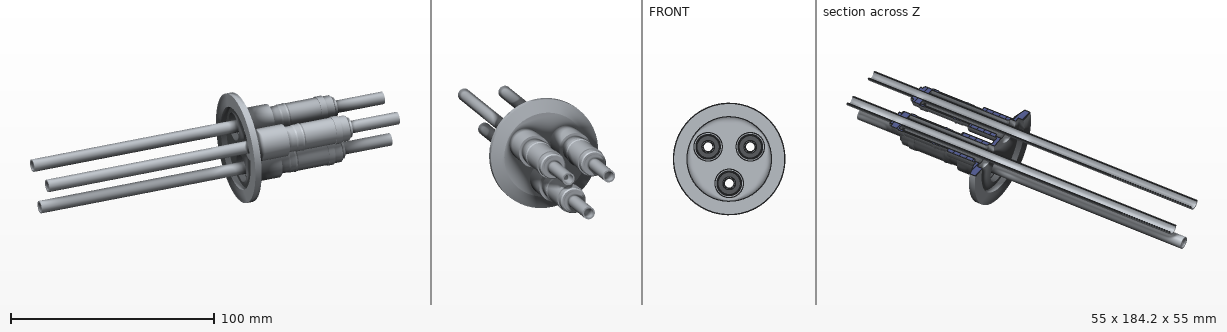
import cadquery as cq
import math

flange_radius = 27.5
rim_thickness = 3.3
flange_thickness = 5.2
cone_back_radius = 21.2
recess_radius = 20.8
recess_depth = 3.0

feed_count = 3
feed_circle_radius = 12.0
first_feed_angle = -90

rod_radius = 3.1
rod_bore_radius = 2.4
rod_length = 184.2
rod_back = 81.2

sleeve_radius = 16.0 / 2
sleeve_back = 21.5
sleeve_bore_radius = 7.0
sleeve_bore_depth = 6.0

neck_radius = 12.7 / 2
neck_chamfer = 0.5
body_radius = 13.0 / 2
body_back = 54.5
land_start = 26.0
land_radius = 6.6
land_taper_length = 0.7
bead_radius = 13.8 / 2
bead_center = 30.0
bead_half_width = 0.7
collar_start = 46.8
collar_end = 49.9
collar_radius = bead_radius

cap_bore_mouth_radius = 6.0
cap_bore_radius = 5.5
cap_bore_taper_length = 1.0

ferrule_root_radius = 4.5
ferrule_end_radius = 5.0
ferrule_back = 55.8


def revolve_about_y(points):
    """Revolve a closed (radius, y) outline about the Y axis."""
    return cq.Workplane("XY").polyline(points).close().revolve(360, (0, 0, 0), (0, 1, 0))


def cylinder(radius, start, end):
    """Cylinder on the Y axis between two Y positions."""
    return revolve_about_y([(0, start), (radius, start), (radius, end), (0, end)])


def make_flange():
    blank = revolve_about_y([
        (0, 0),
        (flange_radius, 0),
        (flange_radius, rim_thickness),
        (cone_back_radius, flange_thickness),
        (0, flange_thickness),
    ])
    return blank.cut(cylinder(recess_radius, 0, recess_depth))


def make_feed_shell():
    """Outside of one feedthrough, from the recess floor to the ferrule."""
    return revolve_about_y([
        (0, recess_depth),
        (sleeve_radius, recess_depth),
        (sleeve_radius, sleeve_back),
        (neck_radius, sleeve_back),
        (neck_radius, land_start),
        (land_radius, land_start + land_taper_length),
        (land_radius, bead_center - bead_half_width),
        (bead_radius, bead_center),
        (body_radius, bead_center + bead_half_width),
        (body_radius, collar_start),
        (collar_radius, collar_start),
        (collar_radius, collar_end),
        (neck_radius, collar_end),
        (neck_radius, body_back - neck_chamfer),
        (neck_radius - neck_chamfer, body_back),
        (ferrule_root_radius, body_back),
        (ferrule_end_radius, ferrule_back),
        (0, ferrule_back),
    ])


def make_feed_bore():
    """Stepped bore, open at the front and closed by the rear cap."""
    return revolve_about_y([
        (0, 0),
        (sleeve_bore_radius, 0),
        (sleeve_bore_radius, sleeve_bore_depth),
        (cap_bore_mouth_radius, sleeve_bore_depth),
        (cap_bore_radius, sleeve_bore_depth + cap_bore_taper_length),
        (cap_bore_radius, collar_end),
        (0, collar_end),
    ])


def at_feeds(shape):
    """Copy a shape to every feedthrough and join the copies."""
    copies = cq.Workplane("XY")
    for index in range(feed_count):
        angle = math.radians(first_feed_angle + index * 360 / feed_count)
        x = feed_circle_radius * math.cos(angle)
        z = feed_circle_radius * math.sin(angle)
        copies = copies.union(shape.translate((x, 0, z)))
    return copies


rod_front = rod_back - rod_length

result = (
    make_flange()
    .union(at_feeds(make_feed_shell()))
    .cut(at_feeds(make_feed_bore()))
    .union(at_feeds(cylinder(rod_radius, rod_front, rod_back)))
    .cut(at_feeds(cylinder(rod_bore_radius, rod_front, rod_back)))
)